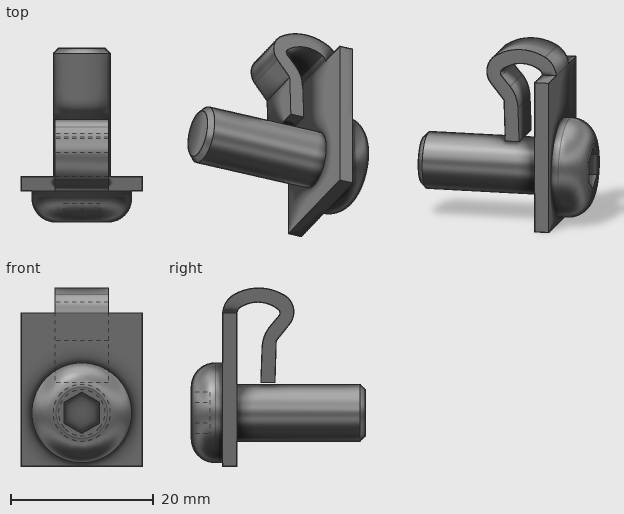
import cadquery as cq
import math

plate_width = 17.0
plate_height = 21.5
thickness = 2.0

screw_height = 7.5
shank_radius = 4.0
shank_end = 20.0
tip_chamfer = 0.75
head_radius = 7.0
head_height = 4.4
head_rim = 1.0
socket_across_flats = 5.0
socket_depth = 2.6

clip_width = 7.5
clip_bottom = 11.72
outer_front = (1.6, 24.07)
outer_front_mid = (0.45, 22.92)
outer_crown = (5.05, 25.0)
outer_back = (8.97, 23.77)
outer_back_mid = (10.0, 21.65)
outer_leg_start = (9.45, 20.0)
outer_elbow = (7.52, 17.6)
outer_tip = (7.35, clip_bottom)
inner_tip = (outer_tip[0] - thickness, clip_bottom)
inner_elbow_low = (5.52, 16.67)
inner_elbow_mid = (5.87, 18.3)
inner_elbow_high = (6.65, 19.62)
inner_leg_start = (7.9, 21.1)
inner_back_mid = (8.02, 21.55)
inner_back = (7.77, 22.0)
inner_crown = (5.0, 23.0)
inner_front = (2.47, 22.27)
inner_front_mid = (2.15, 21.92)


def make_plate():
    return cq.Workplane("XY").box(
        plate_width, thickness, plate_height, centered=(True, False, False)
    )


def make_clip():
    profile = (
        cq.Workplane("YZ")
        .moveTo(0, plate_height)
        .threePointArc(outer_front_mid, outer_front)
        .threePointArc(outer_crown, outer_back)
        .threePointArc(outer_back_mid, outer_leg_start)
        .lineTo(*outer_elbow)
        .lineTo(*outer_tip)
        .lineTo(*inner_tip)
        .lineTo(*inner_elbow_low)
        .threePointArc(inner_elbow_mid, inner_elbow_high)
        .lineTo(*inner_leg_start)
        .threePointArc(inner_back_mid, inner_back)
        .threePointArc(inner_crown, inner_front)
        .threePointArc(inner_front_mid, (thickness, plate_height))
        .close()
    )
    return profile.extrude(clip_width / 2, both=True)


def make_screw():
    dome_radius = head_height - head_rim
    face_radius = head_radius - dome_radius
    dome_offset = dome_radius * math.sqrt(0.5)
    dome_mid = (face_radius + dome_offset, -head_rim - dome_offset)
    return (
        cq.Workplane("XY")
        .moveTo(0, -head_height)
        .lineTo(face_radius, -head_height)
        .threePointArc(dome_mid, (head_radius, -head_rim))
        .lineTo(head_radius, 0)
        .lineTo(shank_radius, 0)
        .lineTo(shank_radius, shank_end - tip_chamfer)
        .lineTo(shank_radius - tip_chamfer, shank_end)
        .lineTo(0, shank_end)
        .close()
        .revolve(360, (0, 0, 0), (0, 1, 0))
        .translate((0, 0, screw_height))
    )


def make_socket():
    across_corners = socket_across_flats / math.cos(math.pi / 6)
    return (
        cq.Workplane("XZ", origin=(0, -head_height, screw_height))
        .transformed(rotate=(0, 0, 90))
        .polygon(6, across_corners)
        .extrude(-socket_depth)
    )


result = make_plate().union(make_clip()).union(make_screw()).cut(make_socket())